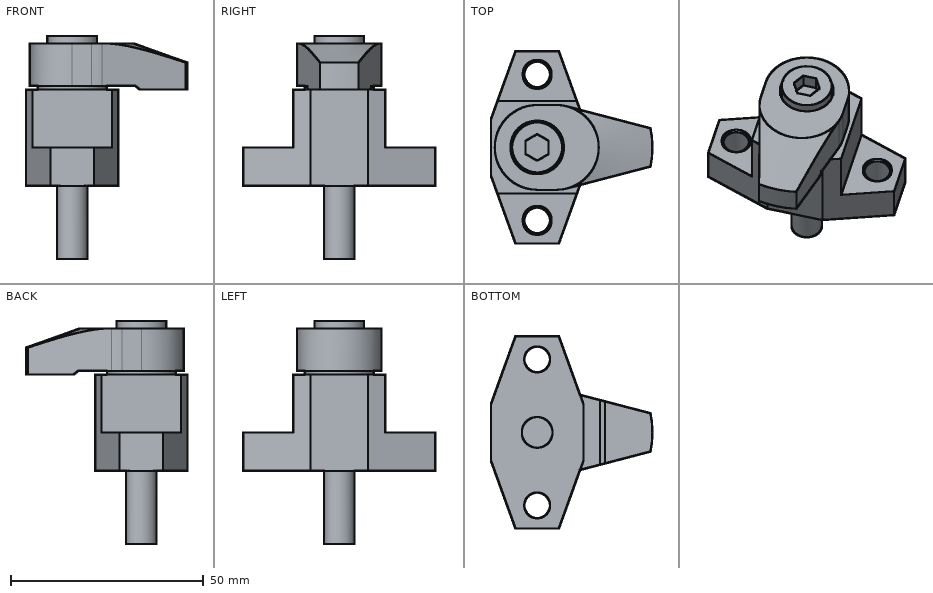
import cadquery as cq
import math

base_width = 24.0
base_length = 50.0
base_height = 25.0
block_length = 24.0
lug_height = 10.0
lug_end_width = 11.3
side_flat_length = 14.85
lug_hole_diameter = 6.6
lug_hole_offset = 18.95
lug_hole_chamfer = 0.45

collar_diameter = 18.0
collar_height = 1.0
hub_height = 11.0
hub_radius = 11.0
hub_center_spacing = 5.0
arm_tip_radius = 25.0
arm_tip_half_width = 5.0
arm_tip_drop = 5.0
arm_step_start = 16.35
arm_step_end = 17.6
head_clearance = 0.45
hub_bottom = base_height + collar_height
hub_top = hub_bottom + hub_height

shank_diameter = 8.0
head_diameter = 13.0
head_projection = 2.0
head_height = 8.0
socket_flats = 6.0
socket_depth = 4.0
bolt_top = hub_top + head_projection
bolt_length = 58.0
bolt_bottom = bolt_top - bolt_length
head_bottom = bolt_top - head_height


def cylinder(diameter, bottom, top):
    return cq.Workplane("XY").workplane(offset=bottom).circle(diameter / 2).extrude(top - bottom)


def make_base():
    half_width = base_width / 2
    half_length = base_length / 2
    half_end = lug_end_width / 2
    half_flat = side_flat_length / 2
    outline = [
        (-half_width, -half_flat),
        (-half_end, -half_length),
        (half_end, -half_length),
        (half_width, -half_flat),
        (half_width, half_flat),
        (half_end, half_length),
        (-half_end, half_length),
        (-half_width, half_flat),
    ]
    body = cq.Workplane("XY").polyline(outline).close().extrude(base_height)

    for side in (-1, 1):
        lug_length = half_length - block_length / 2
        center_y = side * (half_length + block_length / 2) / 2
        relief = (
            cq.Workplane("XY").workplane(offset=lug_height).center(0, center_y)
            .rect(base_width, lug_length).extrude(base_height - lug_height)
        )
        body = body.cut(relief)

    rim_radius = lug_hole_diameter / 2 + lug_hole_chamfer
    hole = cylinder(lug_hole_diameter, 0, lug_height)
    rim = cq.Workplane(
        cq.Solid.makeCone(
            lug_hole_diameter / 2, rim_radius, lug_hole_chamfer,
            pnt=cq.Vector(0, 0, lug_height - lug_hole_chamfer),
        )
    )
    for side in (-1, 1):
        body = body.cut(hole.union(rim).translate((0, side * lug_hole_offset, 0)))

    return body.cut(cylinder(shank_diameter, 0, base_height))


def make_arm():
    tip_corner_reach = math.sqrt(arm_tip_radius**2 - arm_tip_half_width**2)
    tangent_angle = math.acos(hub_radius / arm_tip_radius) + math.asin(arm_tip_half_width / arm_tip_radius)
    tangent_x = hub_center_spacing + hub_radius * math.cos(tangent_angle)
    tangent_y = hub_radius * math.sin(tangent_angle)
    tip_corner_x = hub_center_spacing + tip_corner_reach
    tip_x = hub_center_spacing + arm_tip_radius
    arm = (
        cq.Workplane("XY").workplane(offset=base_height)
        .moveTo(tangent_x, -tangent_y)
        .lineTo(tip_corner_x, -arm_tip_half_width)
        .threePointArc((tip_x, 0), (tip_corner_x, arm_tip_half_width))
        .lineTo(tangent_x, tangent_y)
        .close()
        .extrude(hub_top - base_height)
    )

    envelope = (
        cq.Workplane("XZ")
        .polyline([
            (0, base_height),
            (arm_tip_radius, base_height),
            (arm_tip_radius, hub_top - arm_tip_drop),
            (hub_radius, hub_top),
            (0, hub_top),
        ])
        .close()
        .revolve(360, (0, 0), (0, 1))
        .translate((hub_center_spacing, 0, 0))
    )

    underside_relief = (
        cq.Workplane("XZ")
        .polyline([
            (0, base_height),
            (arm_step_end, base_height),
            (arm_step_start, hub_bottom),
            (0, hub_bottom),
        ])
        .close()
        .extrude(hub_radius, both=True)
    )
    return arm.intersect(envelope).cut(underside_relief)


def make_lever():
    hub = (
        cq.Workplane("XY").workplane(offset=hub_bottom).center(hub_center_spacing / 2, 0)
        .slot2D(hub_center_spacing + 2 * hub_radius, 2 * hub_radius).extrude(hub_height)
    )
    collar = cylinder(collar_diameter, base_height, hub_bottom)
    lever = hub.union(make_arm()).union(collar)
    lever = lever.cut(cylinder(shank_diameter, base_height, hub_top))
    return lever.cut(cylinder(head_diameter + 2 * head_clearance, head_bottom, hub_top))


def make_bolt():
    shank = cylinder(shank_diameter, bolt_bottom, head_bottom)
    head = cylinder(head_diameter, head_bottom, bolt_top)
    socket_corners = socket_flats / math.cos(math.pi / 6)
    socket = (
        cq.Workplane("XY").workplane(offset=bolt_top - socket_depth)
        .polygon(6, socket_corners).extrude(socket_depth)
        .rotate((0, 0, 0), (0, 0, 1), 90)
    )
    return shank.union(head).cut(socket)


base = make_base()
lever = make_lever()
bolt = make_bolt()
result = cq.Compound.makeCompound([base.val(), lever.val(), bolt.val()])